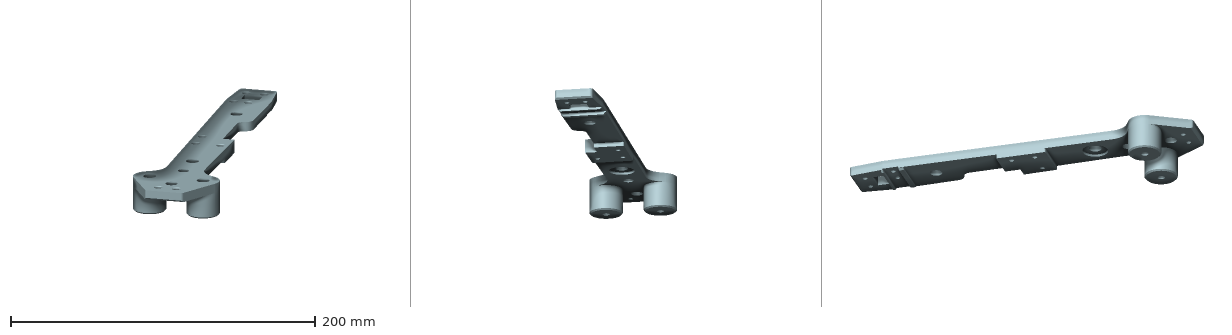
import cadquery as cq
import math

length = 236.5
half_length = length / 2
plate_thickness = 6.5
tip_half_width = 12.5
shoulder_half_width = 30.0 / 2
shoulder_top_y = 94.5
shoulder_bottom_y = 84.6
neck_half_width = 25.8 / 2
tail_half_width = 12.5
neck_fillet = 13.2
plate_corner_radius = 2.0
end_chamfer = 1.2

overall_width = 58.5
overall_height = 23.2
foot_radius = 22.0 / 2
foot_x = overall_width / 2 - foot_radius
foot_y = -86.8
foot_points = [(-foot_x, foot_y), (foot_x, foot_y)]
foot_chamfer = 1.0
foot_bore = 5.0
foot_counterbore = 8.5
foot_counterbore_depth = 14.2
flank_angle = 30.0

notch_x = 6.1
notch_bottom_y = 6.5
notch_top_y = 45.0
notch_slope_angle = 18.0
notch_inner_fillet = 4.5
notch_outer_fillet = 5.2

pad_length = 33.8
pad_height = 2.8
pad_corner_radius = 1.0

strip_bottom_y = 80.5
strip_top_y = 96.0
strip_half_width = 14.7
strip_height = 1.5
channel_bottom_y = 84.0
channel_top_y = 94.5
channel_depth = 0.7
channel_y = (channel_bottom_y + channel_top_y) / 2

window_width = 12.3
window_bottom_y = 96.0
window_top_y = 104.5
recessed_hole_y = -47.0
axis_holes = [(62.5, 8.0), (recessed_hole_y, 8.5), (-69.3, 7.0), (-99.0, 8.0)]
recess_diameter = 17.0
recess_depth = 1.7
recess_top_z = recess_depth - plate_thickness
screw_hole = 3.3
screw_head = 6.0
countersink_depth = (screw_head - screw_hole) / 2
end_screw_x = 6.1
end_screw_y = 109.5
middle_screw_x = 16.8 / 2
middle_screw_y = 8.0
shoulder_screw_y = 89.1
shoulder_screw_xs = (-9.2, 0.7)
screw_points = [
    (-end_screw_x, end_screw_y),
    (end_screw_x, end_screw_y),
    (shoulder_screw_xs[0], shoulder_screw_y),
    (shoulder_screw_xs[1], shoulder_screw_y),
    (-middle_screw_x, middle_screw_y),
    (-middle_screw_x, -middle_screw_y),
    (middle_screw_x, -middle_screw_y),
    (-end_screw_x, -end_screw_y),
    (end_screw_x, -end_screw_y),
]


def rim_point(degrees):
    """Point on the +X foot's rim, at an angle counted up from the X direction."""
    angle = math.radians(degrees)
    return foot_x + foot_radius * math.cos(angle), foot_y + foot_radius * math.sin(angle)


flank_slope = math.tan(math.radians(flank_angle))
flank_start_x, flank_start_y = rim_point(90 - flank_angle)
neck_y = flank_start_y + (flank_start_x - neck_half_width) * flank_slope
side_taper = (shoulder_half_width - neck_half_width) / (shoulder_bottom_y - neck_y)


def side_x(y):
    """Half width of the plate between the neck and the shoulders, where its sides taper slightly."""
    return neck_half_width + side_taper * (y - neck_y)


def fillet_upright_edge(solid, x, y, radius):
    """Round the vertical plate edge nearest to (x, y)."""
    nearest = cq.selectors.NearestToPointSelector((x, y, -plate_thickness / 2))
    return solid.edges("|Z").edges(nearest).fillet(radius)


def chamfer_plate_end(plate, side):
    """Bevel the bottom edge of the end at Y = side * half_length."""
    end_y = side * half_length
    bevel = (
        cq.Workplane("YZ", origin=(-overall_width / 2, 0, 0))
        .moveTo(end_y, -plate_thickness)
        .lineTo(end_y, end_chamfer - plate_thickness)
        .lineTo(end_y - side * end_chamfer, -plate_thickness)
        .close()
        .extrude(overall_width)
    )
    return plate.cut(bevel)


def make_plate():
    """Symmetric plate, outlined by its +X half and that half's mirror image."""
    plate = (
        cq.Workplane("XY")
        .moveTo(0, half_length)
        .lineTo(tip_half_width, half_length)
        .lineTo(shoulder_half_width, shoulder_top_y)
        .lineTo(shoulder_half_width, shoulder_bottom_y)
        .lineTo(neck_half_width, neck_y)
        .lineTo(flank_start_x, flank_start_y)
        .threePointArc(rim_point(0), rim_point(-flank_angle))
        .lineTo(tail_half_width, -half_length)
        .lineTo(0, -half_length)
        .mirrorY()
        .extrude(-plate_thickness)
    )
    for side in (-1, 1):
        plate = fillet_upright_edge(plate, side * neck_half_width, neck_y, neck_fillet)
        plate = fillet_upright_edge(plate, side * tip_half_width, half_length, plate_corner_radius)
        plate = fillet_upright_edge(plate, side * tail_half_width, -half_length, plate_corner_radius)
    for side in (-1, 1):
        plate = chamfer_plate_end(plate, side)
    return plate


def make_pad():
    """Pad as wide as the plate, with its sides flush with the plate's."""
    end_y = pad_length / 2
    return (
        cq.Workplane("XY", origin=(0, 0, -plate_thickness))
        .moveTo(-side_x(-end_y), -end_y)
        .lineTo(side_x(-end_y), -end_y)
        .lineTo(side_x(end_y), end_y)
        .lineTo(-side_x(end_y), end_y)
        .close()
        .extrude(-pad_height)
        .edges("|Z")
        .fillet(pad_corner_radius)
    )


def make_strip():
    """Raised strip whose two ends slope inwards at 45 degrees."""
    bottom_half_width = strip_half_width - strip_height
    return (
        cq.Workplane("XZ", origin=(0, strip_top_y, 0))
        .moveTo(-strip_half_width, -plate_thickness)
        .lineTo(strip_half_width, -plate_thickness)
        .lineTo(bottom_half_width, -plate_thickness - strip_height)
        .lineTo(-bottom_half_width, -plate_thickness - strip_height)
        .close()
        .extrude(strip_top_y - strip_bottom_y)
    )


def make_channel():
    return (
        cq.Workplane("XY", origin=(0, channel_y, channel_depth - plate_thickness))
        .rect(overall_width, channel_top_y - channel_bottom_y)
        .extrude(-channel_depth - strip_height)
    )


def make_feet():
    return (
        cq.Workplane("XY", origin=(0, 0, -plate_thickness))
        .pushPoints(foot_points)
        .circle(foot_radius)
        .extrude(plate_thickness - overall_height)
        .faces("<Z")
        .edges()
        .chamfer(foot_chamfer)
    )


def cut_notch(solid):
    slope = math.tan(math.radians(notch_slope_angle))
    far_x = overall_width / 2
    cutter = (
        cq.Workplane("XY")
        .moveTo(notch_x, notch_bottom_y)
        .lineTo(far_x, notch_bottom_y)
        .lineTo(far_x, notch_top_y + (far_x - notch_x) * slope)
        .lineTo(notch_x, notch_top_y)
        .close()
        .extrude(-overall_height)
    )
    solid = solid.cut(cutter)
    outer_x = side_x(notch_top_y)
    outer_y = notch_top_y + (outer_x - notch_x) * slope
    solid = fillet_upright_edge(solid, notch_x, notch_top_y, notch_inner_fillet)
    return fillet_upright_edge(solid, outer_x, outer_y, notch_outer_fillet)


def bore(points, diameter, depth=overall_height, top_z=0):
    """Round cutters going down from top_z."""
    return cq.Workplane("XY", origin=(0, 0, top_z)).pushPoints(points).circle(diameter / 2).extrude(-depth)


def countersink(x, y):
    """Conical cutter for a screw head at the top face."""
    mouth = cq.Workplane("XY").center(x, y).circle(screw_head / 2)
    return mouth.workplane(offset=-countersink_depth).circle(screw_hole / 2).loft()


def make_window():
    return (
        cq.Workplane("XY", origin=(0, (window_bottom_y + window_top_y) / 2, 0))
        .rect(window_width, window_top_y - window_bottom_y)
        .extrude(-overall_height)
    )


result = make_plate().union(make_pad()).union(make_strip()).cut(make_channel())
result = cut_notch(result).cut(make_window())

for hole_y, hole_diameter in axis_holes:
    result = result.cut(bore([(0, hole_y)], hole_diameter))
result = result.cut(bore([(0, recessed_hole_y)], recess_diameter, recess_depth, recess_top_z))

result = result.cut(bore(screw_points, screw_hole))
for screw_x, screw_y in screw_points:
    result = result.cut(countersink(screw_x, screw_y))

result = result.union(make_feet(), clean=False)
result = result.cut(bore(foot_points, foot_bore), clean=False)
result = result.cut(bore(foot_points, foot_counterbore, foot_counterbore_depth), clean=False)